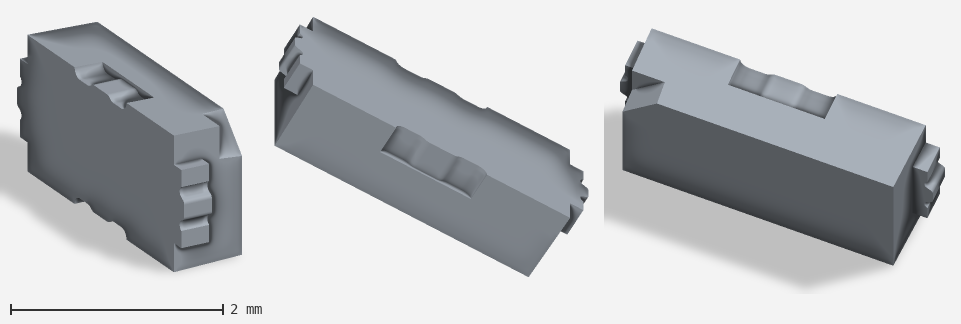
import cadquery as cq
import math

body_length = 2.803
body_height = 1.4
body_depth = 0.75
draft_angle = 1.3

overall_length = 3.2
lead_thickness = 0.3
lead_inner_half_height = 0.352
lead_outer_half_height = 0.4
flare_start = 1.045
flare_end = 1.338
left_lead_inner_edge = -0.698
right_lead_inner_edge = -0.105

lead_shoulder = 1.545
tongue_tip = overall_length / 2
tongue_flat_half_height = 0.065
tongue_round_middle = (1.595, 0.085)
tongue_round_end = (1.578, 0.102)
groove_inner_end = (1.55, 0.12)
groove_bottom = (1.515, 0.17)
groove_outer_half_height = 0.225

recess_half_length = 0.495
recess_depth = 0.093
recess_corner_radius = 0.095
island_depth = 0.048
island_half_length = 0.12
island_foot_half_length = 0.243
cut_overshoot = 0.032

shelf_y = 0.502
bevel_leg_at_shelf = 0.36
bevel_leg_at_back = 0.387


def front_plane(y=0):
    """Workplane with local axes X and Z, placed at the given Y."""
    return cq.Workplane("XZ", origin=(0, y, 0))


def add_s_bend(sketch, start, end):
    """Draw two equal tangent arcs from start to end, running along X at both ends."""
    run = (end[0] - start[0]) / 2
    rise = (end[1] - start[1]) / 2
    radius = (run**2 + rise**2) / (2 * abs(rise))
    signed_radius = math.copysign(radius, rise)
    middle = (start[0] + run, start[1] + rise)
    return sketch.radiusArc(middle, -signed_radius).radiusArc(end, signed_radius)


def make_body():
    outline = front_plane().rect(body_length, body_height)
    return outline.extrude(-body_depth, taper=draft_angle)


def make_right_lead(inner_edge):
    """Lead pointing to +X, symmetric about Z = 0."""
    bend_inner = (flare_start, lead_inner_half_height)
    bend_outer = (flare_end, lead_outer_half_height)
    sketch = front_plane().moveTo(inner_edge, 0).lineTo(inner_edge, lead_inner_half_height)
    sketch = add_s_bend(sketch.lineTo(*bend_inner), bend_inner, bend_outer)
    upper_half = (
        sketch.lineTo(lead_shoulder, lead_outer_half_height)
        .lineTo(lead_shoulder, groove_outer_half_height)
        .threePointArc(groove_bottom, groove_inner_end)
        .lineTo(*tongue_round_end)
        .threePointArc(tongue_round_middle, (tongue_tip, tongue_flat_half_height))
        .lineTo(tongue_tip, 0)
        .close()
        .extrude(-lead_thickness)
    )
    return upper_half.union(upper_half.mirror("XY"))


def make_upper_recess():
    top = body_height / 2
    floor = top - recess_depth
    island = top - island_depth
    arc_start_z = floor + recess_corner_radius
    floor_end = recess_half_length - recess_corner_radius
    foot_left = (-island_foot_half_length, floor)
    crest_left = (-island_half_length, island)
    crest_right = (island_half_length, island)
    foot_right = (island_foot_half_length, floor)

    sketch = (
        front_plane()
        .moveTo(-recess_half_length, top + cut_overshoot)
        .lineTo(-recess_half_length, arc_start_z)
        .radiusArc((-floor_end, floor), -recess_corner_radius)
        .lineTo(*foot_left)
    )
    sketch = add_s_bend(sketch, foot_left, crest_left).lineTo(*crest_right)
    sketch = add_s_bend(sketch, crest_right, foot_right)
    return (
        sketch.lineTo(floor_end, floor)
        .radiusArc((recess_half_length, arc_start_z), -recess_corner_radius)
        .lineTo(recess_half_length, top + cut_overshoot)
        .close()
        .extrude(-lead_thickness)
    )


def make_corner_bevel():
    """Wedge that removes the +X, +Z corner behind the shelf."""
    right = body_length / 2
    top = body_height / 2

    def triangle(sketch, leg):
        return sketch.polyline([(right, top), (right - leg, top), (right, top - leg)]).close()

    shelf_section = triangle(front_plane(shelf_y), bevel_leg_at_shelf)
    both_sections = triangle(shelf_section.workplane(offset=shelf_y - body_depth), bevel_leg_at_back)
    return both_sections.loft(ruled=True)


upper_recess = make_upper_recess()
body = make_body().cut(upper_recess).cut(upper_recess.mirror("XY")).cut(make_corner_bevel())

right_lead = make_right_lead(right_lead_inner_edge)
left_lead = make_right_lead(-left_lead_inner_edge).mirror("YZ")

pocketed_body = body.cut(left_lead).cut(right_lead)
result = pocketed_body.union(left_lead, clean=False).union(right_lead, clean=False)